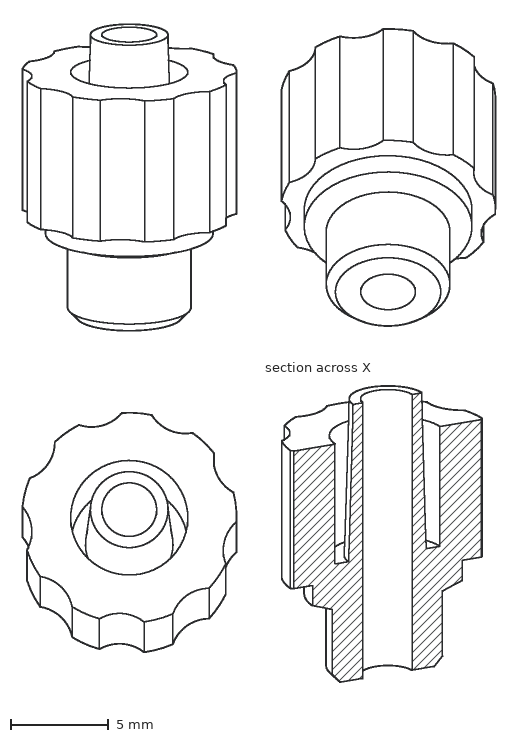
import cadquery as cq
import math

total_height = 15.0
knob_top = 13.0
knob_bottom = 5.5
collar_bottom = 4.41
stem_top = 4.02
stem_chamfer_height = 0.5
cavity_floor = 6.5

bore_diameter = 2.8
cavity_diameter = 6.0
stem_diameter = 6.35
stem_end_diameter = 5.4
collar_diameter = 8.6
tip_top_diameter = 3.98
tip_base_diameter = 4.48

knob_radius = 5.5
scallop_count = 9
scallop_radius = 2.0
scallop_floor_radius = 5.02


def revolved(profile):
    """Revolve a closed (radius, height) outline about the Z axis."""
    return cq.Workplane("XZ").polyline(profile).close().revolve(360, (0, 0), (0, 1))


def make_knob():
    height = knob_top - knob_bottom
    body = cq.Workplane("XY").workplane(offset=knob_bottom).circle(knob_radius).extrude(height)
    cutter_distance = scallop_floor_radius + scallop_radius
    centers = []
    for index in range(scallop_count):
        angle = math.pi + index * 2 * math.pi / scallop_count
        centers.append((cutter_distance * math.cos(angle), cutter_distance * math.sin(angle)))
    scallops = (
        cq.Workplane("XY").workplane(offset=knob_bottom)
        .pushPoints(centers).circle(scallop_radius).extrude(height)
    )
    cavity = (
        cq.Workplane("XY").workplane(offset=cavity_floor)
        .circle(cavity_diameter / 2).extrude(knob_top - cavity_floor)
    )
    return body.cut(scallops).cut(cavity)


def make_stem_and_collar():
    return revolved([
        (0, 0),
        (stem_end_diameter / 2, 0),
        (stem_diameter / 2, stem_chamfer_height),
        (stem_diameter / 2, stem_top),
        (collar_diameter / 2, collar_bottom),
        (collar_diameter / 2, knob_bottom),
        (0, knob_bottom),
    ])


def make_tapered_tip():
    return revolved([
        (0, cavity_floor),
        (tip_base_diameter / 2, cavity_floor),
        (tip_top_diameter / 2, total_height),
        (0, total_height),
    ])


bore = cq.Workplane("XY").circle(bore_diameter / 2).extrude(total_height)

result = make_knob().union(make_stem_and_collar()).union(make_tapered_tip()).cut(bore)